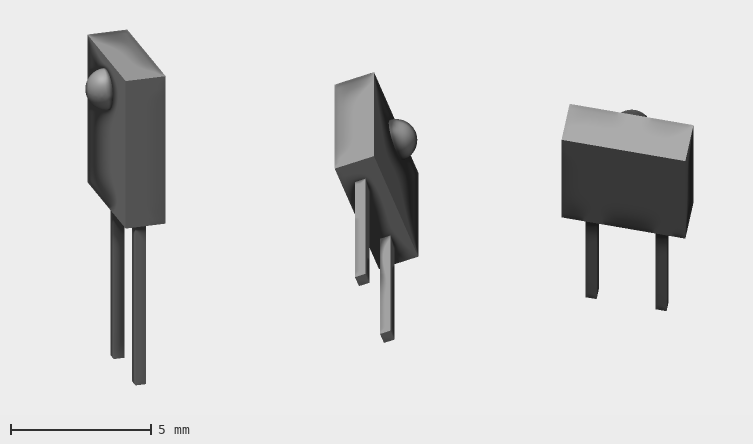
import cadquery as cq

total_height = 12.15

housing_width = 4.5
housing_depth = 1.5
housing_height = 5.7

lens_radius = 0.75
lens_below_top = 1.2

pin_side = 0.4
pin_pitch = 2.54
pin_behind_front = 0.81
pin_length = total_height - housing_height


def make_housing():
    return (
        cq.Workplane("XY")
        .box(housing_width, housing_depth, housing_height, centered=(True, False, False))
        .translate((0, 0, pin_length))
    )


def make_lens():
    half_ball = (
        cq.Workplane("XY")
        .lineTo(lens_radius, 0)
        .radiusArc((0, -lens_radius), lens_radius)
        .close()
        .revolve(360, (0, 0), (0, 1))
    )
    return half_ball.translate((0, 0, total_height - lens_below_top))


def make_pin(x_center):
    return (
        cq.Workplane("XY")
        .box(pin_side, pin_side, pin_length, centered=(True, True, False))
        .translate((x_center, pin_behind_front, 0))
    )


housing = make_housing()
lens = make_lens()
pins = [make_pin(side * pin_pitch / 2) for side in (-1, 1)]

result = cq.Compound.makeCompound([housing.val(), lens.val(), *[pin.val() for pin in pins]])